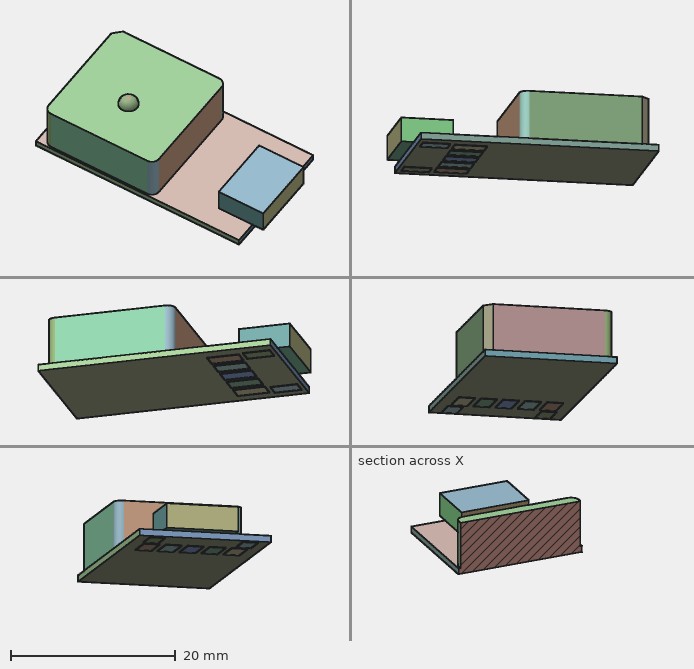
import cadquery as cq

overall_length = 31.0
board_length = 29.45
board_width = 16.5
board_thickness = 0.8

antenna_side = 16.0
antenna_height = 6.0
antenna_corner = 1.02
antenna_end_gap = 1.02

pin_diameter = 2.5
pin_height = 1.0
pin_flat_diameter = 0.53
pin_y = -1.5

connector_length = 6.45
connector_width = 9.0
connector_height = 3.0
connector_y = -0.75

pad_thickness = 0.1
inner_pad_width = 2.0
inner_pad_pitch = 2.75
inner_pad_count = 5
inner_pad_length = 4.03
inner_pad_start = 20.9
outer_pad_length = 3.4
outer_pad_start = 25.5
outer_pad_width = 1.9
outer_pad_y = 5.83

antenna_x = antenna_end_gap + antenna_side / 2


def block(length, width, height, start_x, center_y, base_z):
    """Box that starts at start_x and base_z and is centred on center_y."""
    box = cq.Workplane("XY").box(length, width, height, centered=(False, True, False))
    return box.translate((start_x, center_y, base_z))


def make_antenna():
    """Square block with one chamfered upright corner and three rounded ones."""
    body = block(antenna_side, antenna_side, antenna_height, antenna_end_gap, 0, 0)
    body = body.edges("|Z and <X and >Y").chamfer(antenna_corner)
    rounded_corners = body.edges("|Z and (>X or <Y)")
    return rounded_corners.fillet(antenna_corner)


def make_pin():
    """Dome with a small flat top, its edge rounded over the full height."""
    pin_radius = pin_diameter / 2
    flat_radius = pin_flat_diameter / 2
    dome = (
        cq.Workplane("XZ")
        .lineTo(pin_radius, 0)
        .radiusArc((flat_radius, pin_height), -pin_height)
        .lineTo(0, pin_height)
        .close()
        .revolve(360, (0, 0), (0, 1))
    )
    return dome.translate((antenna_x, pin_y, antenna_height))


def make_pads():
    """Inner row of long pads and a pair of outer pads near the board corners."""
    base_z = -board_thickness - pad_thickness
    pads = cq.Workplane("XY")
    for index in range(inner_pad_count):
        center_y = (index - (inner_pad_count - 1) / 2) * inner_pad_pitch
        pad = block(inner_pad_length, inner_pad_width, pad_thickness, inner_pad_start, center_y, base_z)
        pads = pads.add(pad)
    for side in (-1, 1):
        center_y = side * outer_pad_y
        pad = block(outer_pad_length, outer_pad_width, pad_thickness, outer_pad_start, center_y, base_z)
        pads = pads.add(pad)
    return pads.combine()


board = block(board_length, board_width, board_thickness, 0, 0, -board_thickness)
connector_x = overall_length - connector_length
connector = block(connector_length, connector_width, connector_height, connector_x, connector_y, 0)

result = board.union(make_antenna()).union(make_pin()).union(connector).union(make_pads())